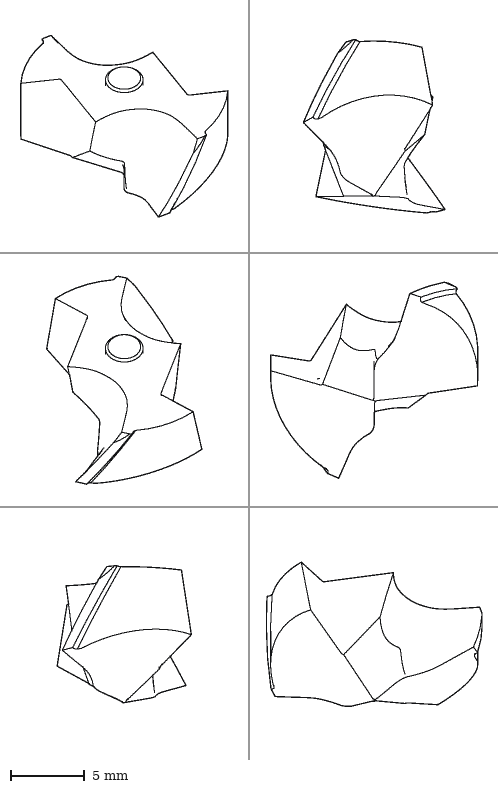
import cadquery as cq
import math


body_top = 7.97
total_height = 8.8
reach = 17.52

margin_radius = 7.3
land_radius = 7.01
helix_angle = 30.0
lead_per_unit = math.tan(math.radians(helix_angle)) / margin_radius
twist_angle = math.degrees(lead_per_unit * body_top)
margin_start_angle = 5.0
margin_end_angle = 20.7
margin_step_angle = 2.8
margin_cove_rise = 0.03
margin_foot_sink = 0.01

flute_curve = [
    (7.88, 1.93), (6.9, 1.84), (5.48, 1.7), (3.88, 1.31), (3.11, 0.77), (2.55, 0.12),
    (2.2, -0.6), (1.97, -1.46), (1.94, -2.29), (2.09, -3.31), (2.7, -4.96), (4.09, -7.01),
]
flute_outer_x = 10.22

gullet_face_y = 3.37
gullet_face_lean = 0.18
gullet_corner_x = 2.79
gullet_wall_run = 0.36
gullet_wall_lean = 0.21
gullet_corner_radius = 0.18

lip_slope = 0.35
flank_relief = 0.404
lip_relief = 0.085
gash_slope_x = 1.04
gash_slope_y = -1.0
gash_wall_end = (1.65, -0.95)
gash_wall_blend = (2.15, -1.14)
gash_wall_exit = (2.92, -1.05)
gash_root_radius = 0.29

corner_clip_x = 6.89
corner_clip_height = 1.07
corner_clip_flare = 0.34

stud_radius = 1.27
stud_chamfer = 0.16
stud_foot_radius = 0.13


def polar(radius, angle):
    angle = math.radians(angle)
    return radius * math.cos(angle), radius * math.sin(angle)


def both_sides(tool):
    """The tool and its copy half a turn around the axis."""
    return [tool, tool.rotate((0, 0, 0), (0, 0, 1), 180)]


def below_plane(slope_x, slope_y):
    """Everything below the plane z = slope_x * x + slope_y * y."""
    plane = cq.Plane(origin=(0, 0, 0), xDir=(1, 0, slope_x), normal=(-slope_x, -slope_y, 1))
    return cq.Workplane(plane).rect(4 * reach, 4 * reach).extrude(-2 * reach)


def margin_section():
    """Guiding margin, stepped down to the land through a small cove."""
    mid_angle = (margin_start_angle + margin_end_angle) / 2
    foot_radius = land_radius - margin_foot_sink
    foot = polar(foot_radius, margin_end_angle + margin_step_angle)
    cove = polar(land_radius + margin_cove_rise, margin_end_angle + margin_step_angle / 2)
    return (
        cq.Workplane("XY")
        .moveTo(0, 0)
        .lineTo(*polar(margin_radius, margin_start_angle))
        .threePointArc(polar(margin_radius, mid_angle), polar(margin_radius, margin_end_angle))
        .threePointArc(cove, foot)
        .close()
    )


def flute_section():
    """S-shaped rake face running into the hollow that bounds the web."""
    return (
        cq.Workplane("XY")
        .moveTo(*flute_curve[0])
        .spline(flute_curve[1:], includeCurrent=True)
        .lineTo(flute_outer_x, flute_curve[-1][1])
        .lineTo(flute_outer_x, flute_curve[0][1])
        .close()
    )


def twisted(section):
    """Helical solid whose section, at the top face, is the given one."""
    solid = section.twistExtrude(body_top, twist_angle)
    return solid.rotate((0, 0, 0), (0, 0, 1), -twist_angle)


def gullet_tool():
    """Wedge above the flat web face and left of the leaning land wall."""
    def outline(z):
        drop = body_top - z
        x = gullet_corner_x - gullet_wall_lean * drop
        y = gullet_face_y - gullet_face_lean * drop / body_top
        far_x = x + gullet_wall_run * (reach - y)
        points = [(-reach, y), (x, y), (far_x, reach), (-reach, reach)]
        return cq.Wire.makePolygon([cq.Vector(px, py, z) for px, py in points], close=True)

    wedge = cq.Solid.makeLoft([outline(-body_top), outline(body_top)], True)
    root_x = gullet_corner_x - gullet_wall_lean * body_top
    root = cq.selectors.NearestToPointSelector((root_x, gullet_face_y, 0))
    return cq.Workplane(wedge).edges(root).fillet(gullet_corner_radius)


def flank_tool():
    """Material below the two faces that relieve the lip on the -X side."""
    tool = None
    for side, relief in ((-1, flank_relief), (1, lip_relief)):
        quadrant = cq.Workplane("XY").box(reach, reach, 2 * reach)
        quadrant = quadrant.translate((-reach / 2, side * reach / 2, 0))
        piece = quadrant.intersect(below_plane(-lip_slope, -relief))
        tool = piece if tool is None else tool.union(piece)
    return tool


def gash_tool():
    """Web-thinning notch: sloping floor meeting an upright wall behind the +X lip."""
    start = (-2 * gash_wall_end[0], -2 * gash_wall_end[1])
    area = (
        cq.Workplane("XY", origin=(0, 0, -reach))
        .moveTo(*start)
        .lineTo(*gash_wall_end)
        .threePointArc(gash_wall_blend, gash_wall_exit)
        .lineTo(gash_wall_exit[0], -reach)
        .lineTo(start[0], -reach)
        .close()
        .extrude(2 * reach)
    )
    notch = area.intersect(below_plane(gash_slope_x, gash_slope_y))
    root = cq.selectors.NearestToPointSelector((0, 0, 0))
    return notch.edges(root).fillet(gash_root_radius)


def corner_clip_tool():
    """Sloping cut across the top of the margin on the +X side."""
    return (
        cq.Workplane("XZ", origin=(0, reach / 2, 0))
        .moveTo(corner_clip_x, body_top)
        .lineTo(corner_clip_x + corner_clip_flare, body_top - corner_clip_height)
        .lineTo(reach, body_top - corner_clip_height)
        .lineTo(reach, body_top)
        .close()
        .extrude(reach)
    )


def stud():
    """Locating stud with a chamfered top and a coved foot."""
    foot = stud_radius + stud_foot_radius
    cove = stud_foot_radius * (1 - math.sqrt(0.5))
    return (
        cq.Workplane("XZ")
        .moveTo(0, body_top - stud_foot_radius)
        .lineTo(foot, body_top - stud_foot_radius)
        .lineTo(foot, body_top)
        .threePointArc((stud_radius + cove, body_top + cove), (stud_radius, body_top + stud_foot_radius))
        .lineTo(stud_radius, total_height - stud_chamfer)
        .lineTo(stud_radius - stud_chamfer, total_height)
        .lineTo(0, total_height)
        .close()
        .revolve(360, (0, 0, 0), (0, 1, 0))
    )


body = cq.Workplane("XY").circle(land_radius).extrude(body_top)
for margin in both_sides(twisted(margin_section())):
    body = body.union(margin)

flute_tool = twisted(flute_section())
for tool in (flute_tool, gullet_tool(), flank_tool(), gash_tool(), corner_clip_tool()):
    for cutter in both_sides(tool):
        body = body.cut(cutter)

result = body.union(stud())